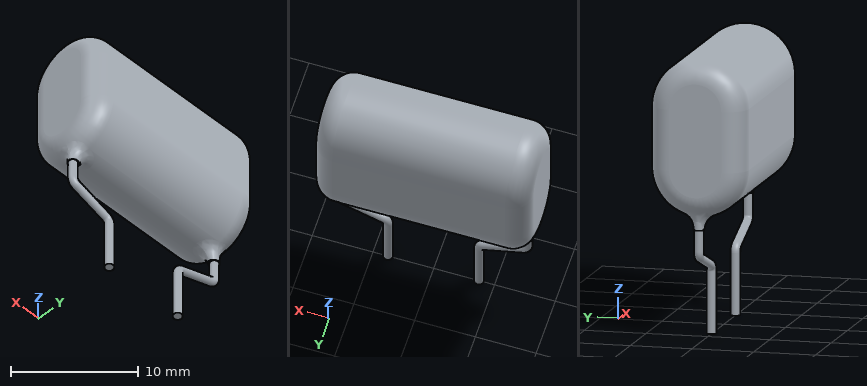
import cadquery as cq
import math

total_height = 22.7
body_length = 17.8
body_thickness = 7.8
body_height = 12.7
end_rounding = 1.8

lead_diameter = 0.8
upper_pitch = 15.48
lower_pitch = 7.5
upper_bend_z = 7.3
bend_radius = 0.6
slope_angle = 20.0

flare_stub_diameter = 0.86
flare_radius = 1.5
flare_bottom_z = 9.05

lead_radius = lead_diameter / 2
body_bottom_z = total_height - body_height
body_center_z = body_bottom_z + body_height / 2


def make_body():
    """Capsule-section body with rounded ends and a flare above each lead."""
    body = (
        cq.Workplane("YZ", origin=(-body_length / 2, 0, body_center_z))
        .slot2D(body_height, body_thickness, 90)
        .extrude(body_length)
        .faces("<X or >X")
        .edges()
        .fillet(end_rounding)
    )
    stub_bottom_z = body_bottom_z - 2 * flare_radius
    stubs = (
        cq.Workplane("XY", origin=(0, 0, stub_bottom_z))
        .pushPoints([(-upper_pitch / 2, 0), (upper_pitch / 2, 0)])
        .circle(flare_stub_diameter / 2)
        .extrude(body_center_z - stub_bottom_z)
    )
    body = body.union(stubs)
    reach = flare_stub_diameter
    for side in (-1, 1):
        stub_x = side * upper_pitch / 2
        joint = cq.selectors.BoxSelector(
            (stub_x - reach, -reach, body_bottom_z - flare_stub_diameter / 2),
            (stub_x + reach, reach, body_center_z),
            boundingbox=True,
        )
        body = body.edges(joint).fillet(flare_radius)
    trim_height = flare_bottom_z - stub_bottom_z
    trim = (
        cq.Workplane("XY", origin=(0, 0, stub_bottom_z))
        .rect(body_length, body_thickness)
        .extrude(trim_height)
    )
    return body.cut(trim).solids()


def make_lead(side):
    """Round wire jogging inward; side is -1 or 1 along X."""
    turn = math.radians(90 - slope_angle)
    bend_dx = bend_radius * (1 - math.cos(turn))
    bend_dz = bend_radius * math.sin(turn)
    half_turn_dx = bend_radius * (1 - math.cos(turn / 2))
    half_turn_dz = bend_radius * math.sin(turn / 2)

    upper_x = upper_pitch / 2
    lower_x = lower_pitch / 2
    slope_start_x = upper_x - bend_dx
    slope_start_z = upper_bend_z - bend_dz
    slope_end_x = lower_x + bend_dx
    slope_drop = (slope_start_x - slope_end_x) * math.tan(math.radians(slope_angle))
    slope_end_z = slope_start_z - slope_drop
    lower_bend_z = slope_end_z - bend_dz

    path = (
        cq.Workplane("XZ")
        .moveTo(side * upper_x, flare_bottom_z)
        .lineTo(side * upper_x, upper_bend_z)
        .threePointArc(
            (side * (upper_x - half_turn_dx), upper_bend_z - half_turn_dz),
            (side * slope_start_x, slope_start_z),
        )
        .lineTo(side * slope_end_x, slope_end_z)
        .threePointArc(
            (side * (lower_x + half_turn_dx), lower_bend_z + half_turn_dz),
            (side * lower_x, lower_bend_z),
        )
        .lineTo(side * lower_x, 0)
    )
    return (
        cq.Workplane("XY", origin=(side * upper_x, 0, flare_bottom_z))
        .circle(lead_radius)
        .sweep(path)
    )


body = make_body()
leads = [make_lead(side) for side in (-1, 1)]

result = cq.Compound.makeCompound([body.val(), *[lead.val() for lead in leads]])